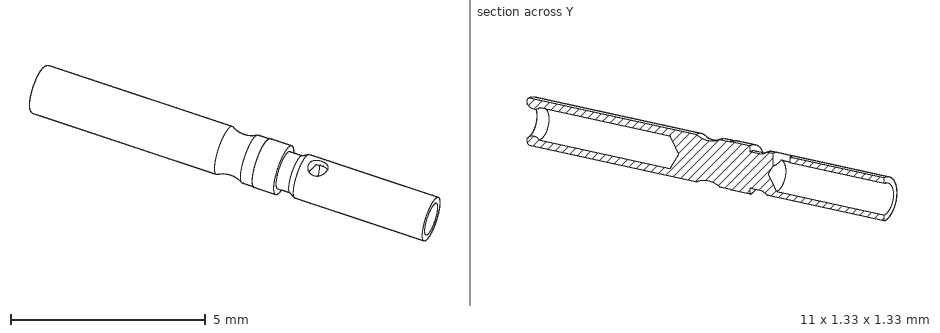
import cadquery as cq
import math

length = 10.98

socket_diameter = 1.31
collar_diameter = 1.33
neck_diameter = 1.01
barrel_diameter = 1.19

groove_start = 5.2
groove_end = 5.93
collar_start = 6.26
collar_end = 6.86
neck_end = 7.21
barrel_start = 7.38

mouth_round = 0.1
groove_depth = 0.1

drill_point_angle = 118.0

socket_bore_diameter = 0.88
socket_bore_depth = 4.39
waist_diameter = 0.72
waist_length = 0.36
mouth_chamfer = 0.03

wire_bore_diameter = 0.86
wire_bore_end = 7.68

inspection_hole_diameter = 0.52
inspection_hole_x = 7.82


def turn(profile):
    """Revolve a closed half-profile a full turn about the X axis."""
    return profile.revolve(360, (0, 0, 0), (1, 0, 0))


def drill_point_length(bore_radius):
    """Length of the conical bottom that a drill leaves in a blind hole."""
    return bore_radius / math.tan(math.radians(drill_point_angle / 2))


def outer_body():
    """Revolve the outside profile, with its rounded mouth and arc-shaped groove."""
    socket_radius = socket_diameter / 2
    collar_radius = collar_diameter / 2
    neck_radius = neck_diameter / 2
    barrel_radius = barrel_diameter / 2
    groove_middle = (groove_start + groove_end) / 2
    round_offset = mouth_round * (1 - math.sqrt(0.5))
    profile = (
        cq.Workplane("XY")
        .lineTo(0, socket_radius - mouth_round)
        .threePointArc(
            (round_offset, socket_radius - round_offset),
            (mouth_round, socket_radius),
        )
        .lineTo(groove_start, socket_radius)
        .threePointArc((groove_middle, socket_radius - groove_depth), (groove_end, socket_radius))
        .lineTo(collar_start, socket_radius)
        .lineTo(collar_start, collar_radius)
        .lineTo(collar_end, collar_radius)
        .lineTo(collar_end, neck_radius)
        .lineTo(neck_end, neck_radius)
        .lineTo(barrel_start, barrel_radius)
        .lineTo(length, barrel_radius)
        .lineTo(length, 0)
        .close()
    )
    return turn(profile)


def socket_bore():
    """Blind drilled hole with a chamfered mouth and an arc-shaped waist just inside it."""
    bore_radius = socket_bore_diameter / 2
    waist_middle = mouth_chamfer + waist_length / 2
    point_length = drill_point_length(bore_radius)
    profile = (
        cq.Workplane("XY")
        .lineTo(0, bore_radius + mouth_chamfer)
        .lineTo(mouth_chamfer, bore_radius)
        .threePointArc(
            (waist_middle, waist_diameter / 2),
            (mouth_chamfer + waist_length, bore_radius),
        )
        .lineTo(socket_bore_depth, bore_radius)
        .lineTo(socket_bore_depth + point_length, 0)
        .close()
    )
    return turn(profile)


def wire_bore():
    """Blind hole with a conical bottom, open at the barrel end."""
    bore_radius = wire_bore_diameter / 2
    point_length = drill_point_length(bore_radius)
    profile = (
        cq.Workplane("XY")
        .moveTo(length, 0)
        .lineTo(length, bore_radius)
        .lineTo(wire_bore_end, bore_radius)
        .lineTo(wire_bore_end - point_length, 0)
        .close()
    )
    return turn(profile)


def inspection_hole():
    """Radial hole from the axis up through the barrel wall."""
    return (
        cq.Workplane("XY")
        .center(inspection_hole_x, 0)
        .circle(inspection_hole_diameter / 2)
        .extrude(barrel_diameter)
    )


result = outer_body().cut(socket_bore()).cut(wire_bore()).cut(inspection_hole())